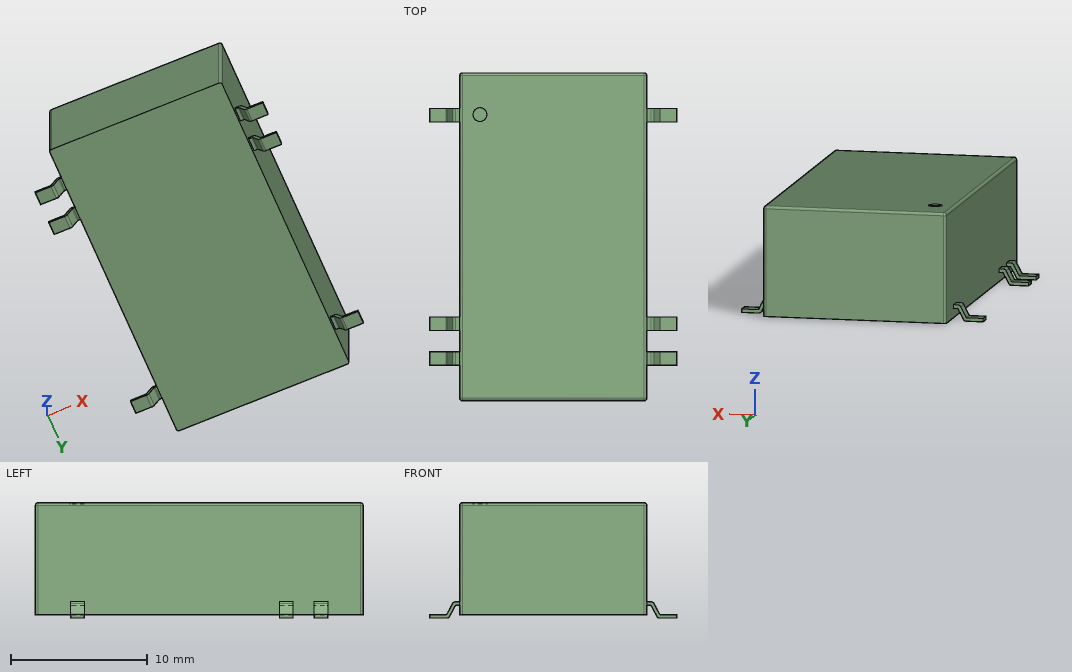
import cadquery as cq
import math

length = 24.0
span = 18.1
total_height = 8.45

housing_width = 13.7
standoff = 0.25
edge_radius = 0.2
housing_height = total_height - standoff

mark_diameter = 1.0
mark_depth = 0.1
mark_inset_x = 1.5
mark_x = mark_inset_x - housing_width / 2
mark_y = 8.95

lead_width = 1.0
lead_thickness = 0.26
lead_rise = 1.2
foot_length = 1.25
shoulder_length = 0.45
inner_bend_radius = 0.07
outer_bend_radius = 0.25
lead_reach = (span - housing_width) / 2

lead_pitch = 2.55
end_row_y = 8.9
lead_rows = (end_row_y, lead_pitch - end_row_y, -end_row_y)

match_tolerance = 0.002


def make_housing():
    """Block rounded on its upright and top edges, with the pin 1 recess."""
    block = (
        cq.Workplane("XY")
        .workplane(offset=standoff)
        .rect(housing_width, length)
        .extrude(housing_height)
        .edges("|Z or >Z")
        .fillet(edge_radius)
    )
    recess = (
        cq.Workplane("XY")
        .workplane(offset=total_height - mark_depth)
        .center(mark_x, mark_y)
        .circle(mark_diameter / 2)
        .extrude(mark_depth)
    )
    return block.cut(recess)


def round_bends(strip, bends, radius):
    """Fillet the edges along Y that pass through the given (x, z) bend points."""

    def is_bend(edge):
        center = edge.Center()
        return any(math.dist((center.x, center.z), bend) < match_tolerance for bend in bends)

    return strip.edges("|Y").filter(is_bend).fillet(radius)


def make_lead(side, row_y):
    """Bent strip of constant thickness, from the housing wall out to a flat foot.

    side is -1 or +1 for the wall at -X or +X; row_y is the middle of the lead along Y.
    """
    upper_bend = shoulder_length
    lower_bend = lead_reach - foot_length
    shoulder_underside = lead_rise - lead_thickness
    slope_angle = math.atan2(shoulder_underside, lower_bend - upper_bend)
    skin_shift = lead_thickness * math.tan(slope_angle / 2)

    def place(out, z):
        return (side * (housing_width / 2 + out), z)

    upper_outer = place(upper_bend, lead_rise)
    lower_inner = place(lower_bend, lead_thickness)
    lower_outer = place(lower_bend - skin_shift, 0)
    upper_inner = place(upper_bend - skin_shift, shoulder_underside)
    profile = [
        place(0, lead_rise),
        upper_outer,
        lower_inner,
        place(lead_reach, lead_thickness),
        place(lead_reach, 0),
        lower_outer,
        upper_inner,
        place(0, shoulder_underside),
    ]
    strip = (
        cq.Workplane("XZ", origin=(0, row_y, 0))
        .polyline(profile)
        .close()
        .extrude(lead_width / 2, both=True)
    )
    strip = round_bends(strip, (lower_inner, upper_inner), inner_bend_radius)
    return round_bends(strip, (upper_outer, lower_outer), outer_bend_radius)


housing = make_housing()
leads = [make_lead(side, row_y) for side in (-1, 1) for row_y in lead_rows]

result = cq.Compound.makeCompound([housing.val(), *[lead.val() for lead in leads]])